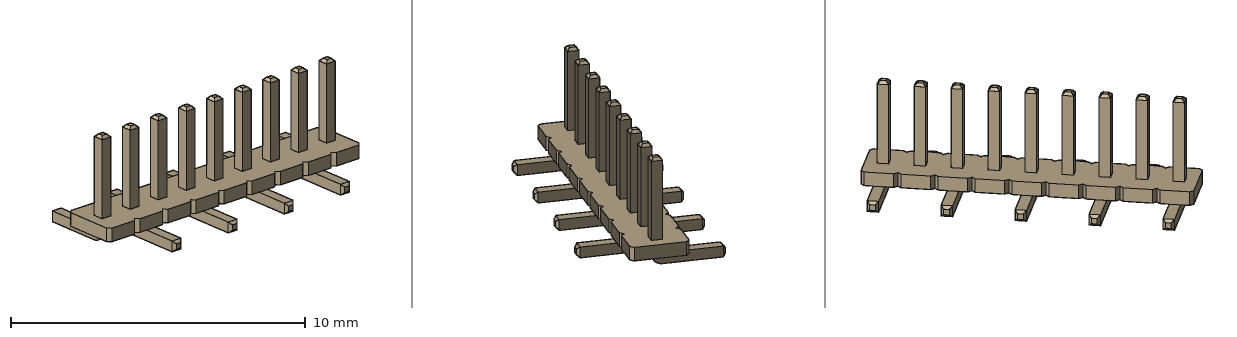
import cadquery as cq

pin_count = 9
pitch = 1.27

strip_width = 2.1
strip_height = 0.5
notch_depth = pitch / 10

pin_size = 0.4
total_height = 3.9
foot_span = 4.9
bend_radius = pin_size
tip_chamfer = 0.1

strip_length = pin_count * pitch
strip_bottom = pin_size
foot_reach = foot_span / 2


def make_strip():
    """Flat strip with V notches that mark off each pin position."""
    half_width = strip_width / 2
    flat_length = pitch - 2 * notch_depth
    strip_start = -strip_length / 2

    side = []
    for index in range(pin_count):
        position_start = strip_start + index * pitch
        flat_start = position_start + notch_depth
        side.append((half_width - notch_depth, position_start))
        side.append((half_width, flat_start))
        side.append((half_width, flat_start + flat_length))
    side.append((half_width - notch_depth, strip_length / 2))

    opposite_side = [(-x, y) for x, y in reversed(side)]
    return (
        cq.Workplane("XY")
        .workplane(offset=strip_bottom)
        .polyline(side + opposite_side)
        .close()
        .extrude(strip_height)
    )


def make_left_pin():
    """L-shaped pin at Y = 0 with its foot pointing to -X."""
    half_size = pin_size / 2
    post = cq.Workplane("XY").box(pin_size, pin_size, total_height, centered=(True, True, False))
    post = post.faces(">Z").chamfer(tip_chamfer)

    foot_length = foot_reach + half_size
    foot = cq.Workplane("XY").box(foot_length, pin_size, pin_size, centered=(False, True, False))
    foot = foot.translate((-foot_reach, 0, 0))
    foot = foot.faces("<X").chamfer(tip_chamfer)

    return post.union(foot).edges("|Y and >X and <Z").fillet(bend_radius)


left_pin = make_left_pin()
right_pin = left_pin.mirror("YZ")

result = make_strip()
first_pin_y = -(pin_count - 1) * pitch / 2
for index in range(pin_count):
    pin = left_pin if index % 2 == 0 else right_pin
    result = result.union(pin.translate((0, first_pin_y + index * pitch, 0)))